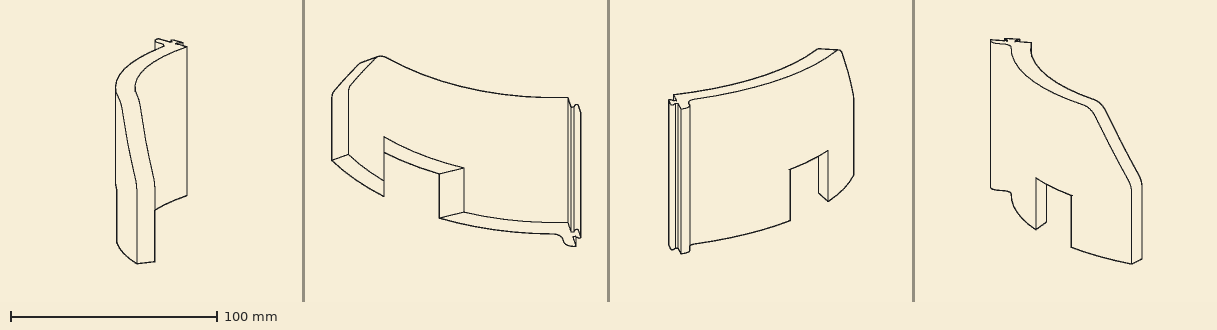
import cadquery as cq
import math

height = 75.0
inner_radius = 117.5
wall_thickness = 9.5
outer_radius = inner_radius + wall_thickness
center_x = 136.4
center_y = 17.25
end_angle = 250.0

foot_thickness = 5.2
foot_edge_radius = 5.0
foot_fillet_radius = 5.0

rail_center_x = 10.0
rail_height = 3.7
neck_width = 4.0
neck_height = 1.3
head_width = 7.5
head_edge_height = 2.5
head_corner_radius = 0.6

corner_length = 25.0
corner_height = 35.0
corner_radius = 10.0

notch_angle = 225.0
notch_height = 26.5
notch_outer_width = 32.0
notch_flare = 34.0

cut_margin = 10.0


def on_arc(radius, angle):
    """Plan point at a radius and an angle (degrees) about the arc centre."""
    a = math.radians(angle)
    return (center_x + radius * math.cos(a), center_y + radius * math.sin(a))


def make_wall_and_foot():
    """Wall and foot as one extruded outline."""
    back_corner_x = center_x - math.sqrt(inner_radius**2 - center_y**2)
    back_corner_angle = 180 + math.degrees(math.asin(center_y / inner_radius))

    fillet_y = -foot_thickness - foot_fillet_radius
    reach = outer_radius + foot_fillet_radius
    rise = center_y - fillet_y
    fillet_x = center_x - math.sqrt(reach**2 - rise**2)
    fillet_angle = math.degrees(math.asin(rise / reach))
    tangent_angle = 180 + fillet_angle
    mid_angle = math.radians((90 + fillet_angle) / 2)
    fillet_mid = (
        fillet_x + foot_fillet_radius * math.cos(mid_angle),
        fillet_y + foot_fillet_radius * math.sin(mid_angle),
    )

    edge_y = foot_edge_radius - foot_thickness
    edge_offset = foot_edge_radius * math.sqrt(0.5)
    edge_mid = (foot_edge_radius - edge_offset, edge_y - edge_offset)

    outline = (
        cq.Workplane("XY")
        .moveTo(0, 0)
        .lineTo(0, edge_y)
        .threePointArc(edge_mid, (foot_edge_radius, -foot_thickness))
        .lineTo(fillet_x, -foot_thickness)
        .threePointArc(fillet_mid, on_arc(outer_radius, tangent_angle))
        .threePointArc(
            on_arc(outer_radius, (tangent_angle + end_angle) / 2),
            on_arc(outer_radius, end_angle),
        )
        .lineTo(*on_arc(inner_radius, end_angle))
        .threePointArc(
            on_arc(inner_radius, (back_corner_angle + end_angle) / 2),
            (back_corner_x, 0),
        )
        .close()
    )
    return outline.extrude(height)


def make_rail():
    """Dovetail rail with rounded head corners, sunk into the foot for a clean joint."""
    half_neck = neck_width / 2
    half_head = head_width / 2
    root_y = -foot_thickness / 2
    right_side = [
        (half_neck, root_y),
        (half_neck, neck_height),
        (half_head, head_edge_height),
        (half_head, rail_height),
    ]
    left_side = [(-x, y) for x, y in reversed(right_side)]
    rail = (
        cq.Workplane("XY")
        .center(rail_center_x, 0)
        .polyline(right_side + left_side)
        .close()
        .extrude(height)
    )
    head_box = cq.selectors.BoxSelector(
        (rail_center_x - head_width, head_edge_height - head_corner_radius / 2, 0),
        (rail_center_x + head_width, rail_height + head_corner_radius, height),
    )
    return rail.edges("|Z").edges(head_box).fillet(head_corner_radius)


def cut_sloped_corner(body):
    """Slope the top corner of the free end and round both ends of the slope."""
    a = math.radians(end_angle)
    outward = cq.Vector(math.cos(a), math.sin(a), 0)
    back_along_wall = cq.Vector(math.sin(a), -math.cos(a), 0)
    plane = cq.Plane(
        origin=(center_x, center_y, height),
        xDir=back_along_wall,
        normal=-outward,
    )
    waste = (
        cq.Workplane(plane)
        .polyline([(0, 0), (corner_length, 0), (0, -corner_height)])
        .close()
        .extrude(-outer_radius - cut_margin)
    )
    upper_half = cq.selectors.BoxSelector(
        (0, -2 * outer_radius, height - corner_height - cut_margin),
        (2 * outer_radius, 0, height + cut_margin),
    )
    sloped = body.cut(waste)
    radial_edges = sloped.edges(cq.selectors.ParallelDirSelector(outward))
    return radial_edges.edges(upper_half).fillet(corner_radius)


def make_notch_cutter():
    """Wedge through the wall at the bottom edge."""
    outer_half = notch_outer_width / 2
    outer_distance = math.sqrt(outer_radius**2 - outer_half**2)
    slope = math.tan(math.radians(notch_flare))
    near = inner_radius - 2 * cut_margin
    far = outer_radius + cut_margin
    near_half = outer_half + slope * (outer_distance - near)
    far_half = outer_half + slope * (outer_distance - far)
    wedge = (
        cq.Workplane("XY")
        .polyline([(near, -near_half), (far, -far_half), (far, far_half), (near, near_half)])
        .close()
        .extrude(notch_height)
    )
    return wedge.rotate((0, 0, 0), (0, 0, 1), notch_angle).translate((center_x, center_y, 0))


sloped_wall = cut_sloped_corner(make_wall_and_foot())
result = sloped_wall.union(make_rail()).cut(make_notch_cutter())